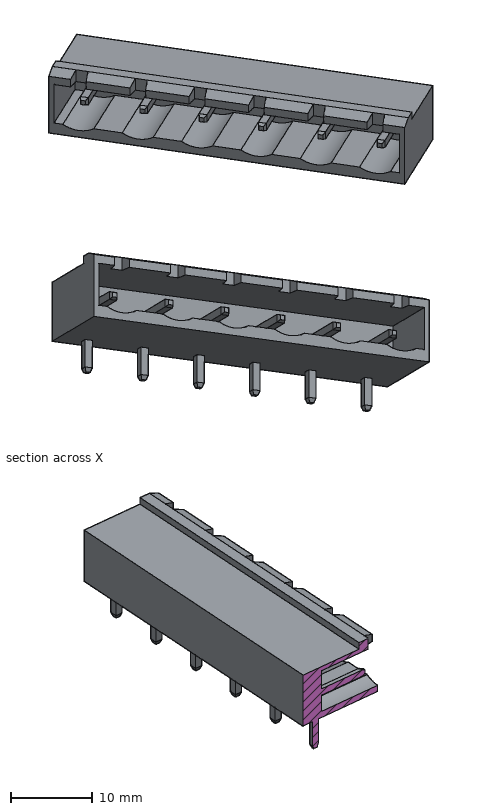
import cadquery as cq

CONTACT_COUNT = 6
HOUSING_LENGTH = 45.7
PITCH = HOUSING_LENGTH / CONTACT_COUNT

HOUSING_DEPTH = 12.0
HOUSING_HEIGHT = 7.6
LIP_TOP = 8.55
LIP_DEPTH = 3.0
BEVEL_DEPTH = 1.5
BEVEL_DROP = 0.6

END_WALL = 0.7
FLOOR_TOP = 1.5
CEILING = 6.9
BACK_WALL = 3.0

SCOOP_WIDTH = 4.0
SCOOP_DROP = 0.55

NOTCH_FRONT_WIDTH = 2.0
NOTCH_BACK_WIDTH = 1.5
NOTCH_DEPTH = BEVEL_DEPTH

PIN_SIZE = 1.0
PIN_TIP_SIZE = 0.6
PIN_TIP_LENGTH = 0.55
PIN_HEIGHT = 3.8
PIN_FRONT_SETBACK = 2.0
PIN_BACK_SETBACK = 2.0
PIN_DROP = 4.05

contact_positions = [(i - (CONTACT_COUNT - 1) / 2) * PITCH for i in range(CONTACT_COUNT)]


def make_housing():
    """Block with a raised, bevelled lip along its top front edge."""
    return (
        cq.Workplane("YZ", origin=(-HOUSING_LENGTH / 2, 0, 0))
        .moveTo(0, 0)
        .lineTo(HOUSING_DEPTH, 0)
        .lineTo(HOUSING_DEPTH, HOUSING_HEIGHT)
        .lineTo(LIP_DEPTH, HOUSING_HEIGHT)
        .lineTo(LIP_DEPTH, LIP_TOP)
        .lineTo(BEVEL_DEPTH, LIP_TOP)
        .lineTo(0, LIP_TOP - BEVEL_DROP)
        .close()
        .extrude(HOUSING_LENGTH)
    )


def make_cavity():
    """Pocket from the front face, with one shallow arc below the floor at each contact."""
    half_length = HOUSING_LENGTH / 2 - END_WALL
    outline = cq.Workplane("XZ").moveTo(-half_length, CEILING).lineTo(-half_length, FLOOR_TOP)
    for x in contact_positions:
        outline = outline.lineTo(x - SCOOP_WIDTH / 2, FLOOR_TOP)
        outline = outline.threePointArc((x, FLOOR_TOP - SCOOP_DROP), (x + SCOOP_WIDTH / 2, FLOOR_TOP))
    outline = outline.lineTo(half_length, FLOOR_TOP).lineTo(half_length, CEILING).close()
    return outline.extrude(-(HOUSING_DEPTH - BACK_WALL))


def make_notch(x):
    """Wedge that opens the lip from the cavity ceiling upwards, wider at the front."""
    return (
        cq.Workplane("XY", origin=(x, 0, CEILING))
        .moveTo(-NOTCH_FRONT_WIDTH / 2, 0)
        .lineTo(NOTCH_FRONT_WIDTH / 2, 0)
        .lineTo(NOTCH_BACK_WIDTH / 2, NOTCH_DEPTH)
        .lineTo(-NOTCH_BACK_WIDTH / 2, NOTCH_DEPTH)
        .close()
        .extrude(LIP_TOP - CEILING)
    )


def make_leg(start, direction, length):
    """Square bar from start along direction, its last stretch tapering to a smaller square."""
    plane = cq.Plane(origin=start, xDir=(1, 0, 0), normal=direction)
    shank_length = length - PIN_TIP_LENGTH
    shank = cq.Workplane(plane).rect(PIN_SIZE, PIN_SIZE).extrude(shank_length)
    tip = (
        cq.Workplane(plane)
        .workplane(offset=shank_length)
        .rect(PIN_SIZE, PIN_SIZE)
        .workplane(offset=PIN_TIP_LENGTH)
        .rect(PIN_TIP_SIZE, PIN_TIP_SIZE)
        .loft()
    )
    return shank.union(tip)


def make_pin(x):
    """L-shaped pin: one leg forward into the cavity, one leg down below the housing."""
    bend_y = HOUSING_DEPTH - PIN_BACK_SETBACK
    bend = (x, bend_y, PIN_HEIGHT)
    contact_leg = make_leg(bend, (0, -1, 0), bend_y - PIN_FRONT_SETBACK)
    solder_leg = make_leg(bend, (0, 0, -1), PIN_HEIGHT + PIN_DROP)
    return contact_leg.union(solder_leg)


result = make_housing().cut(make_cavity())
for contact_x in contact_positions:
    result = result.cut(make_notch(contact_x))
    result = result.union(make_pin(contact_x))